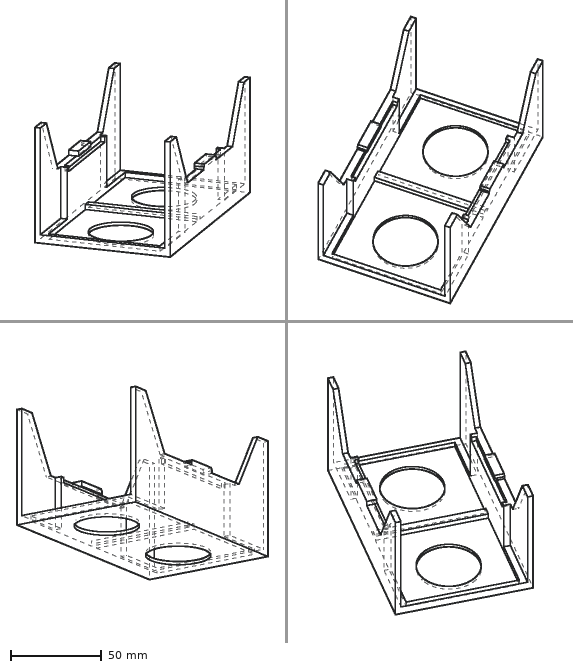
import cadquery as cq

width = 80.0
length = 130.0
height = 67.0

floor_thickness = 5.0
panel_depth = 3.0
panel_end_margin = 3.1
cross_bar_width = 5.0
hole_diameter = 36.1
hole_offset = 35.0

wall_thickness = 3.2
wall_height = 35.0
horn_top_length = 10.1
horn_base_length = 28.6

thick_wall = 7.2
thick_half_length = 32.0
step_wall = 4.5
step_half_length = 29.2
step_depth = 3.0

tab_width = 5.8
tab_length = 20.2
tab_height = 3.0
tab_chamfer_length = 0.9
tab_chamfer_height = 1.4

half_width = width / 2
half_length = length / 2


def block(x_range, y_range, z_range):
    """Box spanning the given (low, high) limits."""
    size = [high - low for low, high in (x_range, y_range, z_range)]
    corner = (x_range[0], y_range[0], z_range[0])
    return cq.Workplane("XY").box(*size, centered=False).translate(corner)


def side_prism(points, thickness):
    """Extrude a (Y, Z) outline inward from the outer face of the -X wall."""
    return cq.Workplane("YZ", origin=(-half_width, 0, 0)).polyline(points).close().extrude(thickness)


def floor():
    """Base plate with a sunken panel and a round hole on each side of the cross bar."""
    plate = block((-half_width, half_width), (-half_length, half_length), (0, floor_thickness))
    panel_half_width = half_width - thick_wall
    panel_length = half_length - panel_end_margin - cross_bar_width / 2
    panel_centre = (cross_bar_width + panel_length) / 2
    panels = (
        cq.Workplane("XY", origin=(0, 0, floor_thickness - panel_depth))
        .pushPoints([(0, -panel_centre), (0, panel_centre)])
        .rect(2 * panel_half_width, panel_length)
        .extrude(panel_depth)
    )
    holes = (
        cq.Workplane("XY")
        .pushPoints([(0, -hole_offset), (0, hole_offset)])
        .circle(hole_diameter / 2)
        .extrude(floor_thickness)
    )
    return plate.cut(panels).cut(holes)


def wall():
    """The -X wall with its horns, thickened middle and stepped inner edge."""
    horn_tip = half_length - horn_top_length
    horn_foot = half_length - horn_base_length
    outline = [
        (-half_length, 0),
        (half_length, 0),
        (half_length, height),
        (horn_tip, height),
        (horn_foot, wall_height),
        (-horn_foot, wall_height),
        (-horn_tip, height),
        (-half_length, height),
    ]
    thickening = block(
        (-half_width, -half_width + thick_wall),
        (-thick_half_length, thick_half_length),
        (0, wall_height),
    )
    step = block(
        (-half_width + step_wall, -half_width + thick_wall),
        (-step_half_length, step_half_length),
        (wall_height - step_depth, wall_height),
    )
    return side_prism(outline, wall_thickness).union(thickening).cut(step)


def tab(chamfer_both_ends):
    """Tab on the -X wall, chamfered at its +Y end and optionally at its -Y end."""
    end = tab_length / 2
    top = wall_height + tab_height
    outline = [
        (-end, wall_height),
        (end, wall_height),
        (end, top - tab_chamfer_height),
        (end - tab_chamfer_length, top),
    ]
    if chamfer_both_ends:
        outline += [(-end + tab_chamfer_length, top), (-end, top - tab_chamfer_height)]
    else:
        outline.append((-end, top))
    return side_prism(outline, tab_width)


left_side = wall().union(tab(chamfer_both_ends=False))
right_side = wall().union(tab(chamfer_both_ends=True)).mirror("YZ")

result = floor().union(left_side).union(right_side)